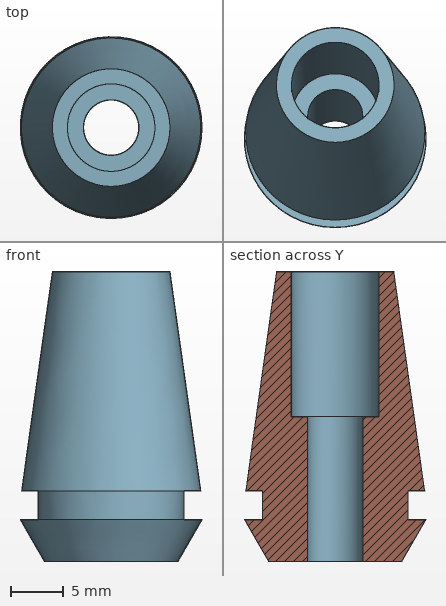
import cadquery as cq
import math

length = 27.5
flange_radius = 8.62

flange_height = 4.0
flange_angle = 30
nose_radius = flange_radius - flange_height * math.tan(math.radians(flange_angle))

groove_radius = 6.93
groove_width = 2.72
body_bottom = flange_height + groove_width

body_radius = 8.5
body_angle = 8
top_radius = body_radius - (length - body_bottom) * math.tan(math.radians(body_angle))

hole_radius = 2.6
counterbore_radius = 4.15
counterbore_depth = 13.75


def turned_body():
    """Revolve the outer half profile about the Z axis."""
    profile = [
        (0, 0),
        (nose_radius, 0),
        (flange_radius, flange_height),
        (groove_radius, flange_height),
        (groove_radius, body_bottom),
        (body_radius, body_bottom),
        (top_radius, length),
        (0, length),
    ]
    return cq.Workplane("XZ").polyline(profile).close().revolve(360, (0, 0), (0, 1))


def stepped_bore():
    """Through hole, widened from the top face."""
    hole = cq.Workplane("XY").circle(hole_radius).extrude(length)
    counterbore = (
        cq.Workplane("XY")
        .workplane(offset=length - counterbore_depth)
        .circle(counterbore_radius)
        .extrude(counterbore_depth)
    )
    return hole.union(counterbore)


result = turned_body().cut(stepped_bore())